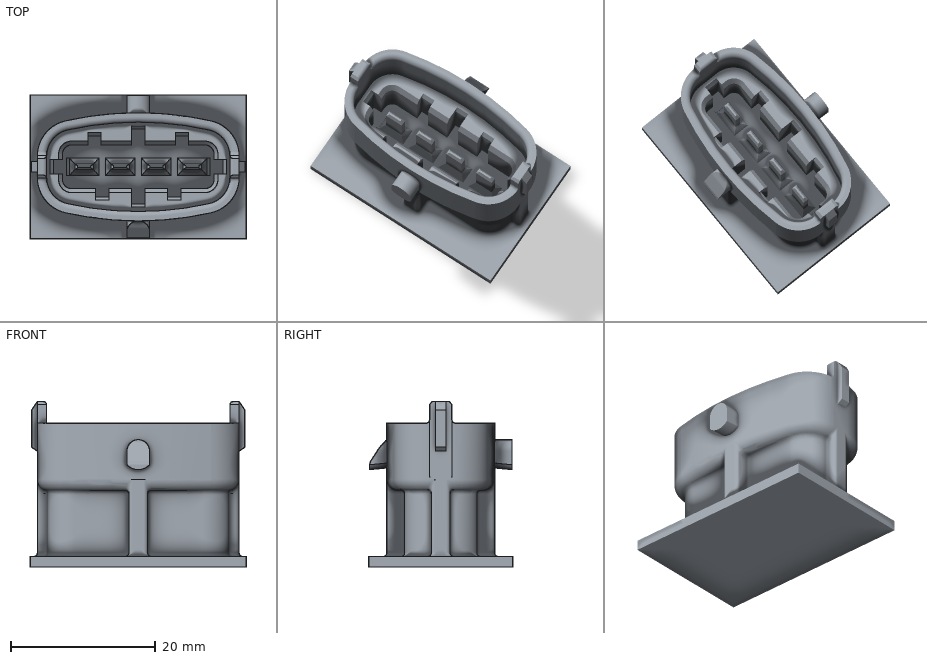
import cadquery as cq
import math

plate_length = 30.0
plate_width = 20.0
plate_thickness = 1.5

shroud_half_length = 14.0
shroud_half_width = 7.5
shroud_corner_radius = 5.0
shroud_corner_center_y = 1.5
shroud_bottom_z = 10.65
shroud_top_z = 20.0
shroud_bottom_fillet = 1.49
shroud_wall = 1.3
rim_fillet = 0.7
cavity_floor_z = 12.5

neck_half_length = 12.6
neck_half_width = 5.0
neck_corner_radius = 3.6
rib_width = 2.6
rib_fillet = 0.5
neck_fillet = 0.5
neck_foot_fillet = 0.5

tab_width = 3.1
tab_top_z = 23.0
tab_side_chamfer = 0.4
tab_inner_fillet = 0.5
tab_root_fillet = 0.5
tab_ridge_width = 1.45
tab_ridge_height = 0.8
tab_ridge_bottom_z = 16.1
tab_ridge_shoulder_z = 21.8
tab_ridge_foot_rise = 0.55

latch_width = 3.13
latch_top_z = 17.7
latch_bottom_z = 13.7
latch_bottom_sag = 0.68
latch_bottom_tilt = 5.5
latch_reach_y = 9.9
latch_bend_y = 8.5
latch_bend_z = 16.62
latch_bend_radius = 2.0
latch_nose_y = 9.75
latch_nose_z = 14.7
latch_lip_z = 14.2

recess_half_length = 11.06
recess_half_width = 3.58
recess_corner_radius = 1.85
recess_floor_z = 5.0
recess_chamfer_inset = 0.54
recess_chamfer_depth = 1.0
key_width = 1.83
key_bevel_inset = 0.44
key_bevel_depth = 0.75
short_key_reach_back = 4.75
short_key_x_back = 6.05
short_key_reach_front = 4.63
short_key_x_front = 5.0
center_key_reach_back = 5.68
center_key_reach_front = 5.58
end_key_width = 2.0
end_key_reach = 12.22

pin_count = 4
pin_pitch = 5.0
pin_base_length = 4.1
pin_base_width = 2.4
pin_base_height = 1.0
pin_blade_length = 2.6
pin_blade_width = 0.8
pin_tip_length = 1.8
pin_tip_width = 0.25
pin_tip_z = 11.0
pin_tip_height = 0.6
pin_step_length = 0.42
pin_step_height = 0.2


def shroud_outline(z):
    """Oval of four corner arcs, two shallow side arcs tangent to them, and short straight ends."""
    corner_x = shroud_half_length - shroud_corner_radius
    rise = shroud_half_width - shroud_corner_center_y
    side_radius = (corner_x**2 + rise**2 - shroud_corner_radius**2) / (2 * (rise - shroud_corner_radius))
    tangent_angle = math.asin(corner_x / (side_radius - shroud_corner_radius))
    tangent_x = side_radius * math.sin(tangent_angle)
    tangent_y = shroud_half_width - side_radius * (1 - math.cos(tangent_angle))
    middle_angle = (math.pi / 2 - tangent_angle) / 2
    middle_x = corner_x + shroud_corner_radius * math.cos(middle_angle)
    middle_y = shroud_corner_center_y + shroud_corner_radius * math.sin(middle_angle)
    return (
        cq.Workplane("XY", origin=(0, 0, z))
        .moveTo(shroud_half_length, -shroud_corner_center_y)
        .lineTo(shroud_half_length, shroud_corner_center_y)
        .threePointArc((middle_x, middle_y), (tangent_x, tangent_y))
        .threePointArc((0, shroud_half_width), (-tangent_x, tangent_y))
        .threePointArc((-middle_x, middle_y), (-shroud_half_length, shroud_corner_center_y))
        .lineTo(-shroud_half_length, -shroud_corner_center_y)
        .threePointArc((-middle_x, -middle_y), (-tangent_x, -tangent_y))
        .threePointArc((0, -shroud_half_width), (tangent_x, -tangent_y))
        .threePointArc((middle_x, -middle_y), (shroud_half_length, -shroud_corner_center_y))
        .close()
    )


def block(x_range, y_range, z_range):
    """Box given by its limits along each axis."""
    low = [r[0] for r in (x_range, y_range, z_range)]
    size = [r[1] - r[0] for r in (x_range, y_range, z_range)]
    return cq.Workplane("XY").box(*size, centered=False).translate(tuple(low))


def mirrored_over_x(solid):
    """The solid joined with its copy on the opposite end of the X axis."""
    return solid.union(solid.mirror("YZ"))


def edges_at_inner_corners(solid):
    """Vertical edges where the rib sides meet the flat neck walls."""
    half_rib = rib_width / 2
    corners = [(half_rib, neck_half_width), (neck_half_length, half_rib)]
    found = []
    for edge in solid.edges("|Z").vals():
        center = edge.Center()
        for x, y in corners:
            if math.isclose(abs(center.x), x, abs_tol=0.01) and math.isclose(abs(center.y), y, abs_tol=0.01):
                found.append(edge)
    return solid.newObject(found)


def make_neck():
    """Rounded neck and its four ribs, with filleted corners."""
    height = shroud_bottom_z + shroud_bottom_fillet
    neck = cq.Workplane("XY").rect(2 * neck_half_length, 2 * neck_half_width).extrude(height)
    neck = neck.edges("|Z").fillet(neck_corner_radius)
    for length, width in ((rib_width, 2 * shroud_half_width), (2 * shroud_half_length, rib_width)):
        rib_pair = cq.Workplane("XY").rect(length, width).extrude(height)
        neck = neck.union(rib_pair.edges("|Z").fillet(rib_fillet))
    return edges_at_inner_corners(neck).fillet(rib_fillet)


def make_plate_and_neck():
    """Neck standing on the plate with a fillet around its foot."""
    plate = cq.Workplane("XY").box(
        plate_length, plate_width, plate_thickness, centered=(True, True, False)
    )
    foot_zone = cq.selectors.BoxSelector(
        (-shroud_half_length - 0.1, -shroud_half_width - 0.1, plate_thickness - 0.1),
        (shroud_half_length + 0.1, shroud_half_width + 0.1, plate_thickness + 0.1),
    )
    return plate.union(make_neck()).edges(foot_zone).fillet(neck_foot_fillet)


def make_shroud():
    """Solid oval of the shroud with its rounded underside."""
    solid = shroud_outline(shroud_bottom_z).extrude(shroud_top_z - shroud_bottom_z)
    return solid.faces("<Z").edges().fillet(shroud_bottom_fillet)


def fillet_under_shroud(body):
    """Round the inner corner between the neck walls and the shroud underside."""
    zone = cq.selectors.BoxSelector(
        (-shroud_half_length - 0.1, -shroud_half_width - 0.1, shroud_bottom_z - 0.05),
        (shroud_half_length + 0.1, shroud_half_width + 0.1, shroud_bottom_z + 0.05),
    )
    edges = []
    for edge in body.edges(zone).vals():
        if edge.geomType() == "LINE" and edge.BoundingBox().ylen < 0.01:
            edges.append(edge)
    return body.newObject(edges).fillet(neck_fillet)


def make_cavity():
    """Inside of the shroud, down to the cavity floor."""
    depth = shroud_top_z - cavity_floor_z
    return shroud_outline(cavity_floor_z).offset2D(-shroud_wall).extrude(depth)


def hollow_shroud(body):
    """Cut the cavity and round the inner edge of the rim."""
    body = body.cut(make_cavity())
    rim_wires = body.faces(">Z").wires().vals()
    inner_rim = min(rim_wires, key=lambda wire: wire.BoundingBox().xlen)
    return body.newObject(inner_rim.Edges()).fillet(rim_fillet)


def make_end_tab():
    """Tab on the +X end with an outer ridge."""
    inner_x = shroud_half_length - shroud_wall
    half_width = tab_width / 2
    tab = block((inner_x, shroud_half_length), (-half_width, half_width), (cavity_floor_z, tab_top_z))
    tab = tab.faces(">Z").edges("|X").chamfer(tab_side_chamfer)
    tab = tab.faces(">Z").edges("<X").fillet(tab_inner_fillet)

    outer_x = shroud_half_length + tab_ridge_height
    ridge = (
        cq.Workplane("XZ", origin=(0, tab_ridge_width / 2, 0))
        .polyline(
            [
                (shroud_half_length, tab_top_z),
                (outer_x, tab_ridge_shoulder_z),
                (outer_x, tab_ridge_bottom_z + tab_ridge_foot_rise),
                (shroud_half_length, tab_ridge_bottom_z),
                (shroud_half_length - shroud_wall / 2, tab_ridge_bottom_z),
                (shroud_half_length - shroud_wall / 2, tab_top_z),
            ]
        )
        .close()
        .extrude(tab_ridge_width)
    )
    return tab.union(ridge)


def fillet_tab_roots(body):
    """Round the corners where the tab sides rise from the rim."""
    edges = []
    for edge in body.edges().vals():
        center = edge.Center()
        on_tab_side = math.isclose(abs(center.y), tab_width / 2, abs_tol=0.01)
        on_rim = shroud_top_z - rim_fillet < center.z < shroud_top_z + 0.01
        if on_tab_side and on_rim and edge.geomType() == "LINE":
            edges.append(edge)
    return body.newObject(edges).fillet(tab_root_fillet)


def make_stub():
    """Round-topped stub on the +Y side, its curved underside drooping outward."""
    half_width = latch_width / 2
    inner_y = shroud_half_width - shroud_wall / 2
    length = latch_reach_y - inner_y
    side_top_z = latch_top_z - half_width
    upper = (
        cq.Workplane("XZ", origin=(0, latch_reach_y, 0))
        .moveTo(-half_width, shroud_bottom_z)
        .lineTo(half_width, shroud_bottom_z)
        .lineTo(half_width, side_top_z)
        .threePointArc((0, latch_top_z), (-half_width, side_top_z))
        .close()
        .extrude(length)
    )
    side_bottom_z = latch_bottom_z + latch_bottom_sag
    tilt = math.radians(latch_bottom_tilt)
    tilted_plane = cq.Plane(
        origin=(0, shroud_half_width, 0),
        xDir=(-1, 0, 0),
        normal=(0, math.cos(tilt), -math.sin(tilt)),
    )
    lower = (
        cq.Workplane(tilted_plane)
        .moveTo(-half_width, side_bottom_z)
        .threePointArc((0, latch_bottom_z), (half_width, side_bottom_z))
        .lineTo(half_width, shroud_top_z)
        .lineTo(-half_width, shroud_top_z)
        .close()
        .extrude(plate_width, both=True)
    )
    return upper.intersect(lower)


def make_latch():
    """Stub shape on the -Y side, trimmed to a sloping catch."""
    inner_y = shroud_half_width - shroud_wall / 2
    profile = (
        cq.Workplane("YZ", origin=(-latch_width / 2, 0, 0))
        .polyline(
            [
                (-inner_y, shroud_bottom_z),
                (-latch_reach_y, shroud_bottom_z),
                (-latch_reach_y, latch_lip_z),
                (-latch_nose_y, latch_nose_z),
                (-latch_bend_y, latch_bend_z),
                (-shroud_half_width, latch_top_z),
                (-inner_y, latch_top_z),
            ]
        )
        .close()
        .extrude(latch_width)
    )
    bend = cq.selectors.NearestToPointSelector((0, -latch_bend_y, latch_bend_z))
    profile = profile.edges("|X").edges(bend).fillet(latch_bend_radius)
    return make_stub().mirror("XZ").intersect(profile)


def make_key_slot(center_x, width, reach):
    """Slot toward +Y in the recess wall with a bevelled end wall."""
    return (
        cq.Workplane("YZ", origin=(center_x - width / 2, 0, 0))
        .polyline(
            [
                (0, recess_floor_z),
                (reach - key_bevel_inset, recess_floor_z),
                (reach - key_bevel_inset, cavity_floor_z - key_bevel_depth),
                (reach, cavity_floor_z),
                (0, cavity_floor_z),
            ]
        )
        .close()
        .extrude(width)
    )


def make_recess():
    """Recess in the cavity floor with a bevelled mouth and keying slots."""
    depth = cavity_floor_z - recess_floor_z
    inset_length = recess_half_length - recess_chamfer_inset
    inset_width = recess_half_width - recess_chamfer_inset
    walls = (
        cq.Workplane("XY", origin=(0, 0, recess_floor_z))
        .rect(2 * inset_length, 2 * inset_width)
        .extrude(depth)
        .edges("|Z")
        .fillet(recess_corner_radius - recess_chamfer_inset)
    )
    bevel_angle = math.degrees(math.atan(recess_chamfer_inset / recess_chamfer_depth))
    mouth = (
        cq.Workplane("XY", origin=(0, 0, cavity_floor_z - recess_chamfer_depth))
        .placeSketch(
            cq.Sketch()
            .rect(2 * inset_length, 2 * inset_width)
            .vertices()
            .fillet(recess_corner_radius - recess_chamfer_inset)
        )
        .extrude(recess_chamfer_depth, taper=-bevel_angle)
    )
    recess = walls.union(mouth)
    for side in (1, -1):
        back = make_key_slot(side * short_key_x_back, key_width, short_key_reach_back)
        front = make_key_slot(side * short_key_x_front, key_width, short_key_reach_front)
        end = make_key_slot(0, end_key_width, end_key_reach)
        recess = recess.union(back).union(front.mirror("XZ"))
        recess = recess.union(end.rotate((0, 0, 0), (0, 0, 1), side * 90))
    recess = recess.union(make_key_slot(0, key_width, center_key_reach_back))
    return recess.union(make_key_slot(0, key_width, center_key_reach_front).mirror("XZ"))


def make_frustum(bottom_size, top_size, bottom_z, height):
    """Four-sided frustum centred on the Z axis."""
    return (
        cq.Workplane("XY", origin=(0, 0, bottom_z))
        .rect(*bottom_size)
        .workplane(offset=height)
        .rect(*top_size)
        .loft(ruled=True)
    )


def make_pin():
    """Blade with a bevelled tip on a pyramid-shaped base."""
    blade_size = (pin_blade_length, pin_blade_width)
    base = make_frustum((pin_base_length, pin_base_width), blade_size, recess_floor_z, pin_base_height)
    blade_bottom_z = recess_floor_z + pin_base_height
    tip_bottom_z = pin_tip_z - pin_tip_height
    blade = (
        cq.Workplane("XY", origin=(0, 0, blade_bottom_z))
        .rect(*blade_size)
        .extrude(tip_bottom_z - blade_bottom_z)
    )
    tip = make_frustum(blade_size, (pin_tip_length, pin_tip_width), tip_bottom_z, pin_tip_height)
    return base.union(blade).union(tip)


def make_pins():
    """Row of pins, with a low step beyond each end pin."""
    row_half_length = (pin_count - 1) * pin_pitch / 2
    pins = cq.Workplane("XY")
    for i in range(pin_count):
        pins = pins.add(make_pin().translate((i * pin_pitch - row_half_length, 0, 0)))
    step_start = row_half_length + pin_base_length / 2
    step = block(
        (step_start, step_start + pin_step_length),
        (-pin_base_width / 2, pin_base_width / 2),
        (recess_floor_z - pin_step_height, recess_floor_z + pin_step_height),
    )
    return pins.combine().union(mirrored_over_x(step))


body = make_plate_and_neck().union(make_shroud())
body = fillet_under_shroud(body)
body = hollow_shroud(body)
body = body.union(mirrored_over_x(make_end_tab()))
body = fillet_tab_roots(body)
body = body.union(make_latch()).union(make_stub())
body = body.cut(make_recess())
result = body.union(make_pins())